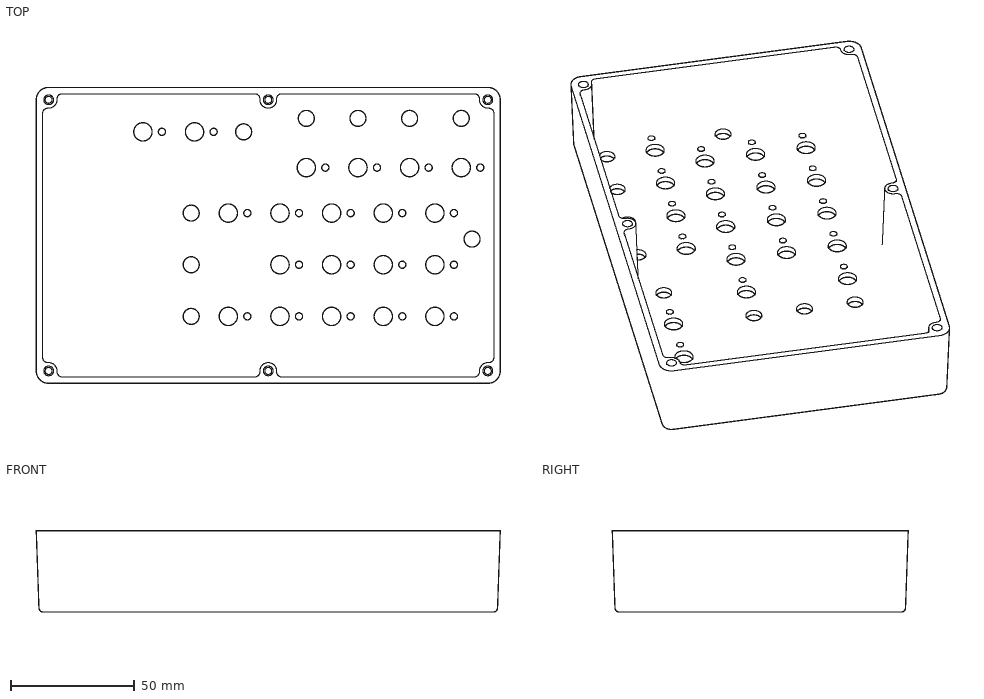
import cadquery as cq
import math

length = 188.0
width = 120.0
height = 33.0
base_fillet = 1.9
draft = 2.0
inner_draft = 1.9

wall = 2.6
floor_thickness = 2.5
floor_fillet = 1.0

screw_inset = 5.0
boss_radius = 3.4
neck_fillet = 2.0
screw_mouth = 4.0
screw_core = 2.8
screw_depth = 22.5
drill_angle = 118.0

large_hole = 7.3
medium_hole = 6.4
small_hole = 2.8
grid_span = 83.7
main_column_count = 5
main_row_count = 3
upper_column_count = 4
corner_large_count = 2
small_offset = 7.7

grid_x = -16.2
grid_y = 9.0
side_column_x = -31.2
upper_x = 15.5
large_row_y = 27.5
medium_row_y = 47.4
corner_row_x = -50.8
corner_row_y = 42.0
corner_row_medium_x = -10.0
edge_hole = (82.5, -1.5)

tolerance = 0.002

pitch = grid_span / (main_column_count - 1)
cavity_length = length - 2 * wall
cavity_width = width - 2 * wall
screw_x = length / 2 - screw_inset
screw_y = width / 2 - screw_inset
screw_points = [(x, y) for x in (-screw_x, 0, screw_x) for y in (-screw_y, screw_y)]


def outer_body():
    outline = cq.Sketch().rect(length, width).vertices().fillet(screw_inset)
    rim = cq.Workplane("XY", origin=(0, 0, height))
    body = rim.placeSketch(outline).extrude(-height, taper=draft)
    return body.faces("<Z").edges().fillet(base_fillet)


def is_on_rim_wall(vertex):
    """True where a boss flank meets one of the four cavity walls."""
    x, y, _ = vertex.toTuple()
    gap_x = abs(abs(x) - cavity_length / 2)
    gap_y = abs(abs(y) - cavity_width / 2)
    return min(gap_x, gap_y) < tolerance


def cavity_outline():
    """Rim opening: a rectangle with a round-nosed boss left standing at each screw."""
    outline = cq.Sketch().rect(cavity_length, cavity_width)
    boss_width = 2 * boss_radius
    for x, y in screw_points:
        outline.push([(x, y)]).circle(boss_radius, mode="s").reset()
        toward_y = y + math.copysign(screw_inset / 2, y)
        outline.push([(x, toward_y)]).rect(boss_width, screw_inset, mode="s").reset()
        if x != 0:
            toward_x = x + math.copysign(screw_inset / 2, x)
            outline.push([(toward_x, y)]).rect(screw_inset, boss_width, mode="s").reset()
    outline.clean()
    return outline.vertices().filter(is_on_rim_wall).fillet(neck_fillet).reset()


def cavity():
    rim = cq.Workplane("XY", origin=(0, 0, height))
    depth = height - floor_thickness
    pocket = rim.placeSketch(cavity_outline()).extrude(-depth, taper=inner_draft)
    return pocket.faces("<Z").edges().fillet(floor_fillet)


def screw_hole():
    """Tapered blind hole with a drill-point bottom, hanging below the origin."""
    tip = screw_core / 2 / math.tan(math.radians(drill_angle / 2))
    profile = (
        cq.Workplane("XZ")
        .lineTo(screw_mouth / 2, 0)
        .lineTo(screw_core / 2, -screw_depth)
        .lineTo(0, -screw_depth - tip)
        .close()
    )
    return profile.revolve(360, (0, 0, 0), (0, 1, 0))


def floor_holes(points, diameter):
    cut_height = 2 * floor_thickness
    return cq.Workplane("XY").pushPoints(points).circle(diameter / 2).extrude(cut_height)


main_rows = [grid_y - pitch * row for row in range(main_row_count)]
main_grid = [(grid_x + pitch * col, y) for col in range(main_column_count) for y in main_rows]
main_grid.remove((grid_x, main_rows[1]))
upper_columns = [upper_x + pitch * col for col in range(upper_column_count)]
corner_row = [(corner_row_x + pitch * col, corner_row_y) for col in range(corner_large_count)]

large_points = main_grid + [(x, large_row_y) for x in upper_columns] + corner_row
small_points = [(x + small_offset, y) for x, y in large_points]
medium_points = [(side_column_x, y) for y in main_rows]
medium_points += [(x, medium_row_y) for x in upper_columns]
medium_points += [(corner_row_medium_x, corner_row_y), edge_hole]

result = outer_body().cut(cavity())
for x, y in screw_points:
    result = result.cut(screw_hole().translate((x, y, height)))
result = result.cut(floor_holes(large_points, large_hole))
result = result.cut(floor_holes(medium_points, medium_hole))
result = result.cut(floor_holes(small_points, small_hole))